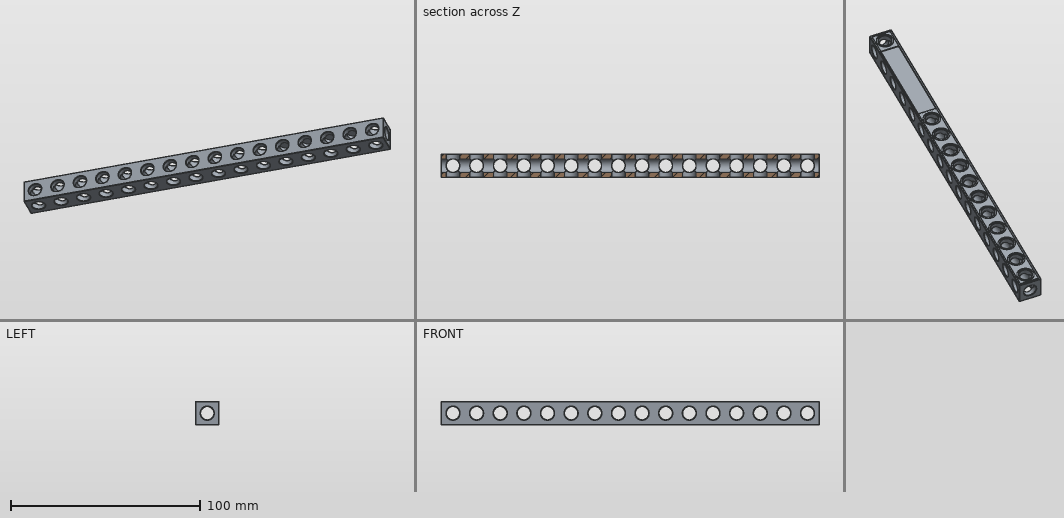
import cadquery as cq

block_size = 12.5
block_count = 16
length = block_size * block_count
top_z = block_size / 2
edge_chamfer = 0.3

hole_diameter = 7.0
hole_chamfer = 0.3

recess_depth = 0.2
recess_border = 1.1
recess_length = length - 2 * recess_border
recess_width = block_size - 2 * recess_border
ring_diameter = 9.2

panel_first_block = 1
panel_block_count = 4
panel_blocks = range(panel_first_block, panel_first_block + panel_block_count)
panel_depth = 0.8
panel_floor_thickness = 0.8


def block_center(index):
    """X position of the center of a block, counted from the -X end."""
    return (index + 0.5) * block_size - length / 2


all_centers = [block_center(i) for i in range(block_count)]
panel_centers = [block_center(i) for i in panel_blocks]
open_centers = [x for x in all_centers if x not in panel_centers]


def make_body():
    """Square bar with all outer edges chamfered."""
    return cq.Workplane("XY").box(length, block_size, block_size).edges().chamfer(edge_chamfer)


def sunken_box(size_x, size_y, depth, center_x):
    """Box reaching down from the top face."""
    workplane = cq.Workplane("XY", origin=(center_x, 0, top_z))
    return workplane.rect(size_x, size_y).extrude(-depth)


def make_recess():
    """Recess of the top face, less the hole rings, with the deeper name panel."""
    recess = sunken_box(recess_length, recess_width, recess_depth, 0)
    ring_points = [(x, 0) for x in open_centers]
    rings = (
        cq.Workplane("XY", origin=(0, 0, top_z))
        .pushPoints(ring_points)
        .circle(ring_diameter / 2)
        .extrude(-recess_depth)
    )
    panel_length = panel_block_count * block_size
    panel_center = (panel_centers[0] + panel_centers[-1]) / 2
    panel = sunken_box(panel_length, recess_width, panel_depth, panel_center)
    return recess.cut(rings).union(panel)


def hole_tool(depth, has_far_mouth=True):
    """Hole along Z from z = 0 up to the depth, chamfered at each open mouth."""
    radius = hole_diameter / 2
    mouth_radius = radius + hole_chamfer
    outline = [(0, 0), (mouth_radius, 0), (radius, hole_chamfer)]
    if has_far_mouth:
        outline += [(radius, depth - hole_chamfer), (mouth_radius, depth)]
    else:
        outline.append((radius, depth))
    outline.append((0, depth))
    return cq.Workplane("XZ").polyline(outline).close().revolve(360, (0, 0, 0), (0, 1, 0))


def cut_holes(body):
    """Lengthwise bore, cross holes in every block and vertical holes."""
    lengthwise_bore = hole_tool(length).rotate((0, 0, 0), (0, 1, 0), 90)
    body = body.cut(lengthwise_bore.translate((-length / 2, 0, 0)))

    cross_hole = hole_tool(block_size).rotate((0, 0, 0), (1, 0, 0), -90)
    for x in all_centers:
        body = body.cut(cross_hole.translate((x, -block_size / 2, 0)))

    vertical_hole = hole_tool(block_size)
    for x in open_centers:
        body = body.cut(vertical_hole.translate((x, 0, -top_z)))

    blind_depth = block_size - panel_depth - panel_floor_thickness
    blind_hole = hole_tool(blind_depth, has_far_mouth=False)
    for x in panel_centers:
        body = body.cut(blind_hole.translate((x, 0, -top_z)))
    return body


beam = cut_holes(make_body().cut(make_recess()))
result = cq.Workplane("XY").newObject([beam.solids().val()])